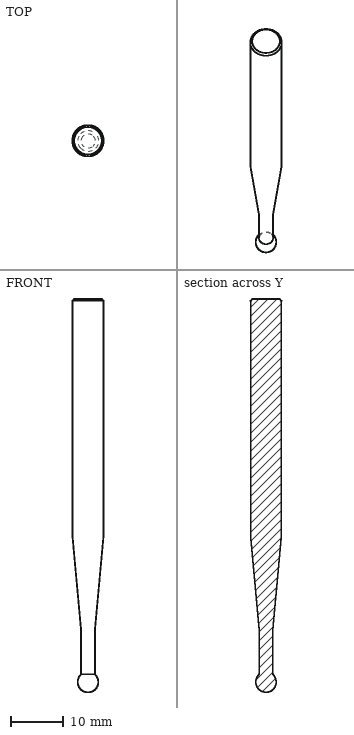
import cadquery as cq
import math

total_length = 75.0
shank_diameter = 6.0
shank_start = 30.0
end_chamfer = 0.4

taper_start = 12.0
neck_diameter = 2.7

ball_diameter = 4.0

shank_radius = shank_diameter / 2
neck_radius = neck_diameter / 2
ball_radius = ball_diameter / 2

neck_start = ball_radius + math.sqrt(ball_radius**2 - neck_radius**2)

profile = (
    cq.Workplane("XZ")
    .moveTo(0, 0)
    .threePointArc((ball_radius, ball_radius), (neck_radius, neck_start))
    .lineTo(neck_radius, taper_start)
    .lineTo(shank_radius, shank_start)
    .lineTo(shank_radius, total_length - end_chamfer)
    .lineTo(shank_radius - end_chamfer, total_length)
    .lineTo(0, total_length)
    .close()
)

result = profile.revolve(360, (0, 0, 0), (0, 1, 0))